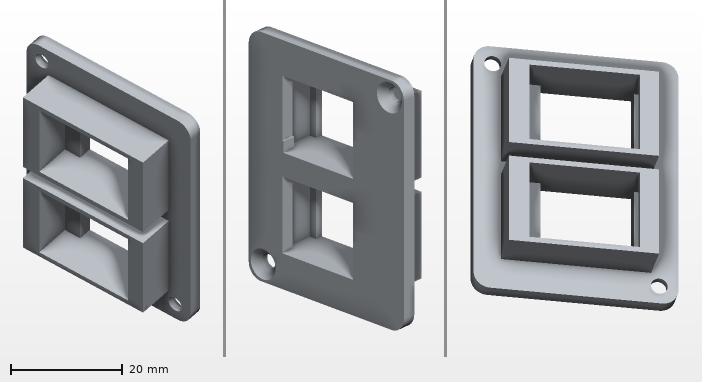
import cadquery as cq

PLATE_WIDTH = 37.55
PLATE_HEIGHT = 49.25
PLATE_THICKNESS = 2.8
CORNER_RADIUS = 3.0
SEAM_Z = 4.7

HOLE_DIAMETER = 3.05
SINK_DEPTH = 1.5
HOLE_X = 15.25
HOLE_Z = 21.15

TOTAL_DEPTH = 10.25
BOX_DEPTH = TOTAL_DEPTH - PLATE_THICKNESS
BOX_WIDTH = 27.55
BOX_HEIGHT = 17.2
SOCKET_PITCH = 19.95
UPPER_Z = SOCKET_PITCH / 2
LOWER_Z = -SOCKET_PITCH / 2

OPENING_HEIGHT = 15.15
OPENING_LEFT = -10.0
MOUTH_RIGHT = 10.3
LIP_THICKNESS = 1.55
POCKET_RIGHT = 11.75
WINDOW_LEFT = -6.5
WINDOW_RIGHT = 10.65
TAB_EDGE = MOUTH_RIGHT

BOX_FRONT_Y = -BOX_DEPTH
LIP_BACK_Y = BOX_FRONT_Y + LIP_THICKNESS


def block(left, right, front, back, bottom, top):
    """Box given by its limits along X, Y and Z."""
    size = (right - left, back - front, top - bottom)
    return cq.Workplane("XY").box(*size, centered=False).translate((left, front, bottom))


def opening_block(left, right, front, back, center_z):
    """Cutting block with the height of a socket opening."""
    half_height = OPENING_HEIGHT / 2
    return block(left, right, front, back, center_z - half_height, center_z + half_height)


def plate_section(bottom, top, rounded_edges):
    """Part of the flange plate with one pair of rounded outer corners."""
    half_width = PLATE_WIDTH / 2
    section = block(-half_width, half_width, 0, PLATE_THICKNESS, bottom, top)
    return section.faces(rounded_edges).edges("|Y").fillet(CORNER_RADIUS)


def screw_hole(x, z):
    """Cutting body for a screw hole through the plate, countersunk from the back."""
    radius = HOLE_DIAMETER / 2
    sink_start = PLATE_THICKNESS - SINK_DEPTH
    profile = (
        cq.Workplane("XY")
        .lineTo(radius, 0)
        .lineTo(radius, sink_start)
        .lineTo(radius + SINK_DEPTH, PLATE_THICKNESS)
        .lineTo(0, PLATE_THICKNESS)
        .close()
    )
    return profile.revolve(360, (0, 0), (0, 1)).translate((x, 0, z))


def socket_box(center_z):
    """Socket box with its mouth and the pocket undercut behind the right lip."""
    half_width = BOX_WIDTH / 2
    half_height = BOX_HEIGHT / 2
    box = block(-half_width, half_width, BOX_FRONT_Y, 0, center_z - half_height, center_z + half_height)
    mouth = opening_block(OPENING_LEFT, MOUTH_RIGHT, BOX_FRONT_Y, LIP_BACK_Y, center_z)
    pocket = opening_block(OPENING_LEFT, POCKET_RIGHT, LIP_BACK_Y, 0, center_z)
    return box.cut(mouth).cut(pocket)


def plate_window(right, center_z):
    """Cutting block for the window through the plate behind a socket."""
    return opening_block(WINDOW_LEFT, right, 0, PLATE_THICKNESS, center_z)


def make_upper_module():
    """Upper socket and the plate above the seam."""
    plate = plate_section(SEAM_Z, PLATE_HEIGHT / 2, ">Z")
    plate = plate.cut(plate_window(WINDOW_RIGHT, UPPER_Z)).cut(screw_hole(-HOLE_X, HOLE_Z))
    return plate.union(socket_box(UPPER_Z))


def make_lower_module():
    """Lower socket and the plate below the seam, reaching behind the upper socket."""
    plate = plate_section(-PLATE_HEIGHT / 2, SEAM_Z, "<Z")
    plate = plate.cut(plate_window(WINDOW_RIGHT, LOWER_Z)).cut(screw_hole(HOLE_X, -HOLE_Z))
    plate = plate.cut(plate_window(TAB_EDGE, UPPER_Z))
    return plate.union(socket_box(LOWER_Z))


upper_module = make_upper_module()
lower_module = make_lower_module()

result = cq.Compound.makeCompound([*upper_module.solids().vals(), *lower_module.solids().vals()])